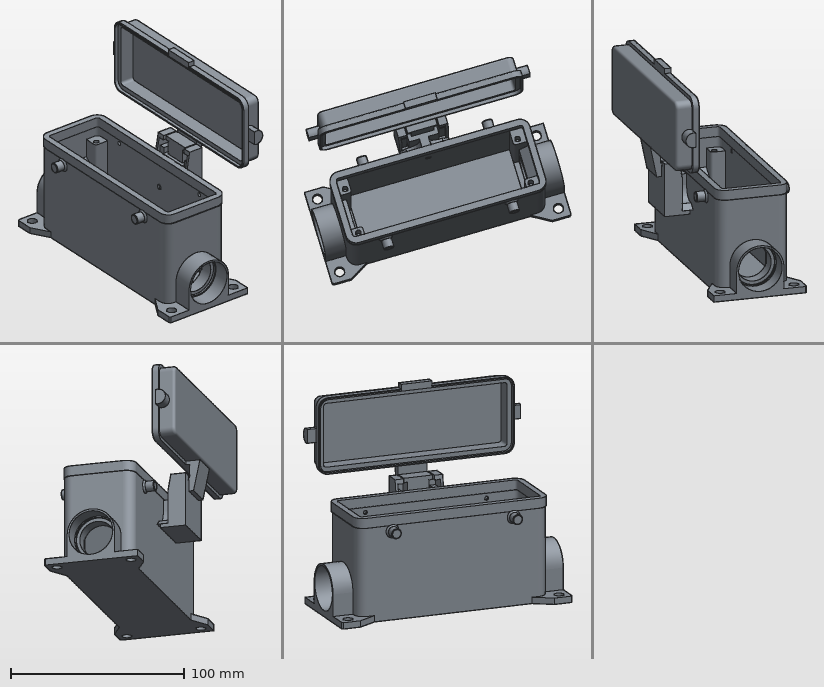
import cadquery as cq

LENGTH = 144.0
HEIGHT = 123.7

BODY_LENGTH = 119.2
BODY_DEPTH = 43.5
BODY_HEIGHT = 63.0
BODY_CORNER = 6.0
RIM_LENGTH = 120.4
RIM_DEPTH = 43.8
RIM_HEIGHT = 6.0
RIM_WALL = 3.9
FLOOR = 2.2
MOUTH_CORNER = 1.5
MOUTH_LENGTH = RIM_LENGTH - 2 * RIM_WALL
MOUTH_DEPTH = RIM_DEPTH - 2 * RIM_WALL
MOUTH_OVERHANG = 1.3
CAVITY_CORNER = MOUTH_CORNER + MOUTH_OVERHANG
CAVITY_LENGTH = MOUTH_LENGTH + 2 * MOUTH_OVERHANG
CAVITY_DEPTH = MOUTH_DEPTH + 2 * MOUTH_OVERHANG
PORT_BLOCK_WALL_Z = 38.9
PORT_BLOCK_FACE_Z = 34.5
LEDGE_TOP = 4.3

POST_SIZE = 7.5
POST_TOP = 50.4
POST_CORNER = 1.5
SCREW_DIAMETER = 3.2
SCREW_DEPTH = 8.6
SCREW_X = 52.0
SCREW_Y = 13.5

FOOT_THICKNESS = 3.9
FOOT_DEPTH = 56.7
FOOT_SHOULDER_X = 60.6
FOOT_TIP_X = 49.2
FOOT_CHAMFER = 0.9
FOOT_HOLE_DIAMETER = 5.8
FOOT_HOLE_X = 66.0
FOOT_HOLE_Y = 22.5

PORT_Z = 17.0
PORT_RADIUS = 14.4
BORE_RADIUS = 13.2
BORE_DEPTH = 10.4
STEP_RADIUS = 12.5
STEP_DEPTH = 1.5
PASSAGE_RADIUS = 10.5

PIN_X = 37.9
PIN_Z = 53.5
PIN_RADIUS = 3.0
PIN_LENGTH = 6.5
PIN_CHAMFER = 0.5
PIN_COLLAR_RADIUS = 4.0
PIN_COLLAR_LENGTH = 1.2
RIVET_RADIUS = 1.2
RIVET_DEPTH = 1.5
HINGE_RIVET_RADIUS = 1.6
HINGE_RIVET_Z = 41.6

LID_Z = 97.6
LID_FRONT_Y = 33.4
LID_FLANGE_BACK_Y = 37.5
LID_BACK_Y = 47.0
LID_LENGTH = 122.4
LID_HEIGHT = 46.2
LID_CORNER = 6.0
LID_STEP = 2.2
LID_BACK_FILLET = 1.7
LID_RIM_CHAMFER = 0.5
LID_LIP = 1.2
LID_LIP_DEPTH = 2.2
LID_POCKET_INSET = 3.9
LID_POCKET_CORNER = 1.7
LID_POCKET_BOTTOM_Y = 44.5
TAB_WIDTH = 19.2
TRUNNION_RADIUS = 4.5
TRUNNION_Y = 39.0
TRUNNION_SPAN = 133.3

ARM_WIDTH = 18.0
ARM_ROOT_BACK_Y = 46.1
ARM_ROOT_Z = 77.8
ARM_TIP_BACK_Y = 42.0
ARM_TIP_Z = 58.3
ARM_FRONT_Y = 39.6
ARM_SEAT_DROP = 1.2
BRACKET_WIDTH = 29.8
BRACKET_BACK_Y = 39.2
BRACKET_FRONT_Y = 28.4
BRACKET_TOP_FRONT_Y = 30.1
BRACKET_LIP_Y = 23.8
BRACKET_BOTTOM = 35.7
BRACKET_SHOULDER_Z = 57.9
BRACKET_TOP = 67.7
BRACKET_SHEET = 1.6
BRACKET_PLATE = 2.3
BRACKET_TOP_PLATE = 2.7
SLIT_WIDTH = 0.7
KNUCKLE_WIDTH = 13.5
KNUCKLE_FRONT_Y = 31.1
EAR_FRONT_Y = 30.2
EAR_TOP = 59.6
PEDESTAL_TOP = 56.5
PEDESTAL_POST_HALF_WIDTH = 2.7
PEDESTAL_BASE_HALF_WIDTH = 14.7
PEDESTAL_SLOPE_END = (11.0, 41.2)
PEDESTAL_LOWER_ARC_MID = (7.6, 41.6)
PEDESTAL_ARC_JOINT = (4.9, 43.3)
PEDESTAL_UPPER_ARC_MID = (3.5, 46.1)
PEDESTAL_ARC_TOP_Z = 49.4

BODY_FACE_Y = BODY_DEPTH / 2
EMBED = 1.5


def block(x0, x1, y0, y1, z0, z1):
    """Axis-aligned box between two opposite corners."""
    return cq.Workplane("XY").box(x1 - x0, y1 - y0, z1 - z0, centered=False).translate((x0, y0, z0))


def rounded_column(length, depth, z0, z1, corner):
    """Upright rounded rectangle centred on the Z axis."""
    column = cq.Workplane("XY").workplane(offset=z0).rect(length, depth).extrude(z1 - z0)
    return column.edges("|Z").fillet(corner)


def lid_slab(length, height, y0, y1, corner):
    """Rounded rectangle in the lid plane, thick from y0 to y1."""
    slab = block(-length / 2, length / 2, y0, y1, LID_Z - height / 2, LID_Z + height / 2)
    return slab.edges("|Y").fillet(corner)


def cylinder_x(radius, x0, x1, y, z):
    return cq.Workplane("YZ", origin=(x0, y, z)).circle(radius).extrude(x1 - x0)


def mirrored_x(shape):
    return shape.union(shape.mirror("YZ"))


def side_profile(points, width):
    """Extrude (Y, Z) points to a width centred on X = 0."""
    return cq.Workplane("YZ").polyline(points).close().extrude(width / 2, both=True)


def make_shell():
    body = rounded_column(BODY_LENGTH, BODY_DEPTH, 0, BODY_HEIGHT, BODY_CORNER)
    rim = rounded_column(RIM_LENGTH, RIM_DEPTH, BODY_HEIGHT - RIM_HEIGHT, BODY_HEIGHT, BODY_CORNER)
    return body.union(rim)


def make_feet():
    end_x = LENGTH / 2
    half_depth = FOOT_DEPTH / 2
    outline = [
        (FOOT_TIP_X, -BODY_FACE_Y),
        (FOOT_SHOULDER_X, -half_depth),
        (end_x, -half_depth),
        (end_x, half_depth),
        (FOOT_SHOULDER_X, half_depth),
        (FOOT_TIP_X, BODY_FACE_Y),
    ]
    foot = cq.Workplane("XY").polyline(outline).close().extrude(FOOT_THICKNESS)
    foot = foot.edges("|Z and >X and <Y").chamfer(FOOT_CHAMFER)
    holes = [(FOOT_HOLE_X, FOOT_HOLE_Y), (FOOT_HOLE_X, -FOOT_HOLE_Y)]
    foot = foot.faces(">Z").workplane(origin=(0, 0, 0)).pushPoints(holes).hole(FOOT_HOLE_DIAMETER)
    return mirrored_x(foot)


def make_ports():
    start_x = BODY_LENGTH / 2 - EMBED
    tunnel = cylinder_x(PORT_RADIUS, start_x, LENGTH / 2, 0, PORT_Z)
    tunnel = tunnel.union(block(start_x, LENGTH / 2, -PORT_RADIUS, PORT_RADIUS, 0, PORT_Z))
    return mirrored_x(tunnel)


def make_port_bores():
    end_x = LENGTH / 2
    bore_x = end_x - BORE_DEPTH
    bore = cylinder_x(BORE_RADIUS, bore_x, end_x, 0, PORT_Z)
    step = cylinder_x(STEP_RADIUS, bore_x - STEP_DEPTH, bore_x, 0, PORT_Z)
    passage = cylinder_x(PASSAGE_RADIUS, 0, end_x, 0, PORT_Z)
    return mirrored_x(bore.union(step).union(passage))


def make_cavity():
    chamber = rounded_column(CAVITY_LENGTH, CAVITY_DEPTH, FLOOR, BODY_HEIGHT - RIM_HEIGHT, CAVITY_CORNER)
    mouth = rounded_column(MOUTH_LENGTH, MOUTH_DEPTH, FLOOR, BODY_HEIGHT, MOUTH_CORNER)
    return chamber.union(mouth)


def make_port_blocks():
    """Blocks inside the end walls around the ports, with sloped tops and a low ledge."""
    wall_x = CAVITY_LENGTH / 2
    post_x = MOUTH_LENGTH / 2 - POST_SIZE
    profile = [
        (wall_x, 0),
        (post_x, 0),
        (post_x, LEDGE_TOP),
        (SCREW_X, LEDGE_TOP),
        (SCREW_X, PORT_BLOCK_FACE_Z),
        (wall_x, PORT_BLOCK_WALL_Z),
    ]
    port_block = cq.Workplane("XZ").polyline(profile).close().extrude(CAVITY_DEPTH / 2, both=True)
    return mirrored_x(port_block)


def make_posts():
    post = block(
        MOUTH_LENGTH / 2 - POST_SIZE, CAVITY_LENGTH / 2,
        MOUTH_DEPTH / 2 - POST_SIZE, CAVITY_DEPTH / 2,
        0, POST_TOP,
    )
    post = post.edges("|Z and <X and <Y").fillet(POST_CORNER)
    screw = (
        cq.Workplane("XY", origin=(SCREW_X, SCREW_Y, POST_TOP))
        .circle(SCREW_DIAMETER / 2)
        .extrude(-SCREW_DEPTH)
    )
    pair = mirrored_x(post.cut(screw))
    return pair.union(pair.mirror("XZ"))


def make_pins():
    tip_y = BODY_FACE_Y + PIN_LENGTH
    collar_y = BODY_FACE_Y + PIN_COLLAR_LENGTH
    half_profile = [
        (0, BODY_FACE_Y - EMBED),
        (PIN_COLLAR_RADIUS, BODY_FACE_Y - EMBED),
        (PIN_COLLAR_RADIUS, BODY_FACE_Y),
        (PIN_RADIUS, collar_y),
        (PIN_RADIUS, tip_y - PIN_CHAMFER),
        (PIN_RADIUS - PIN_CHAMFER, tip_y),
        (0, tip_y),
    ]
    pin = cq.Workplane("XY").polyline(half_profile).close().revolve(360, (0, 0, 0), (0, 1, 0))
    pair = mirrored_x(pin.translate((PIN_X, 0, PIN_Z)))
    return pair.union(pair.mirror("XZ"))


def make_rivet_recesses():
    """Shallow round recesses inside the walls, behind the pins and the hinge."""
    half_span = CAVITY_DEPTH / 2 + RIVET_DEPTH
    pin_recess = (
        cq.Workplane("XZ", origin=(PIN_X, 0, PIN_Z)).circle(RIVET_RADIUS).extrude(half_span, both=True)
    )
    hinge_recess = (
        cq.Workplane("XZ", origin=(0, 0, HINGE_RIVET_Z)).circle(HINGE_RIVET_RADIUS).extrude(-half_span)
    )
    return mirrored_x(pin_recess).union(hinge_recess)


def make_lid():
    flange = lid_slab(LID_LENGTH, LID_HEIGHT, LID_FRONT_Y, LID_FLANGE_BACK_Y, LID_CORNER)
    flange = flange.faces("<Y").edges().chamfer(LID_RIM_CHAMFER)
    shell_length = LID_LENGTH - 2 * LID_STEP
    shell_height = LID_HEIGHT - 2 * LID_STEP
    shell = lid_slab(shell_length, shell_height, LID_FRONT_Y, LID_BACK_Y, LID_CORNER - LID_STEP)
    shell = shell.faces(">Y").edges().fillet(LID_BACK_FILLET)

    tab = block(
        -TAB_WIDTH / 2, TAB_WIDTH / 2,
        LID_FRONT_Y, LID_FLANGE_BACK_Y,
        LID_Z, HEIGHT,
    )
    trunnion = cylinder_x(TRUNNION_RADIUS, -TRUNNION_SPAN / 2, TRUNNION_SPAN / 2, TRUNNION_Y, LID_Z)
    trunnion = trunnion.intersect(
        block(
            -TRUNNION_SPAN / 2, TRUNNION_SPAN / 2,
            LID_FLANGE_BACK_Y, LID_BACK_Y,
            0, HEIGHT,
        )
    )

    lip_recess = lid_slab(
        LID_LENGTH - 2 * LID_LIP, LID_HEIGHT - 2 * LID_LIP,
        LID_FRONT_Y, LID_FRONT_Y + LID_LIP_DEPTH,
        LID_CORNER - LID_LIP,
    )
    pocket = lid_slab(
        LID_LENGTH - 2 * LID_POCKET_INSET, LID_HEIGHT - 2 * LID_POCKET_INSET,
        LID_FRONT_Y, LID_POCKET_BOTTOM_Y,
        LID_POCKET_CORNER,
    )
    solid = flange.union(shell).union(tab).union(trunnion)
    return solid.cut(lip_recess).cut(pocket)


def make_arm():
    """Tapered arm hanging from the back of the lid down to the bracket."""
    flange_bottom = LID_Z - LID_HEIGHT / 2
    inner_back = BRACKET_BACK_Y - BRACKET_SHEET
    seat_z = BRACKET_TOP - ARM_SEAT_DROP
    profile = [
        (ARM_ROOT_BACK_Y, ARM_ROOT_Z),
        (ARM_TIP_BACK_Y, ARM_TIP_Z),
        (inner_back, ARM_TIP_Z),
        (inner_back, seat_z),
        (ARM_FRONT_Y, seat_z),
        (ARM_FRONT_Y, flange_bottom),
        (LID_FLANGE_BACK_Y, flange_bottom),
        (LID_FLANGE_BACK_Y, ARM_ROOT_Z),
    ]
    return side_profile(profile, ARM_WIDTH)


def make_bracket():
    """Sheet bracket, open towards the housing, with a lip along its bottom."""
    plate_top = BRACKET_BOTTOM + BRACKET_PLATE
    outline = [
        (BRACKET_BACK_Y, BRACKET_BOTTOM),
        (BRACKET_LIP_Y, BRACKET_BOTTOM),
        (BRACKET_LIP_Y, plate_top),
        (BRACKET_FRONT_Y, plate_top),
        (BRACKET_FRONT_Y, BRACKET_SHOULDER_Z),
        (BRACKET_TOP_FRONT_Y, BRACKET_TOP),
        (BRACKET_BACK_Y, BRACKET_TOP),
    ]
    bracket = side_profile(outline, BRACKET_WIDTH)
    inner_half = BRACKET_WIDTH / 2 - BRACKET_SHEET
    inner_back = BRACKET_BACK_Y - BRACKET_SHEET
    plate_bottom = BRACKET_TOP - BRACKET_TOP_PLATE
    bracket = bracket.cut(
        block(-inner_half, inner_half, 0, inner_back, plate_top, plate_bottom)
    )

    arm_half = ARM_WIDTH / 2
    slit = block(
        arm_half, arm_half + SLIT_WIDTH,
        0, BRACKET_BACK_Y,
        plate_bottom, BRACKET_TOP,
    )
    knuckle = block(
        -KNUCKLE_WIDTH / 2, KNUCKLE_WIDTH / 2,
        KNUCKLE_FRONT_Y, inner_back,
        PEDESTAL_TOP, plate_bottom,
    )
    shelf = block(-arm_half, arm_half, BRACKET_FRONT_Y, inner_back, plate_top, PEDESTAL_TOP)
    ear = block(arm_half + SLIT_WIDTH, inner_half, EAR_FRONT_Y, inner_back, plate_top, EAR_TOP)
    setback = block(
        -arm_half, arm_half,
        0, KNUCKLE_FRONT_Y,
        plate_bottom, BRACKET_TOP,
    )
    bracket = bracket.cut(mirrored_x(slit)).cut(setback)
    return bracket.union(knuckle).union(shelf).union(mirrored_x(ear))


def make_pedestal():
    """Bell-shaped foot that ties the bracket to the back wall of the housing."""
    plate_top = BRACKET_BOTTOM + BRACKET_PLATE
    post = PEDESTAL_POST_HALF_WIDTH
    flank = (
        cq.Workplane("XZ", origin=(0, BODY_FACE_Y - EMBED, 0))
        .moveTo(0, plate_top)
        .lineTo(PEDESTAL_BASE_HALF_WIDTH, plate_top)
        .lineTo(*PEDESTAL_SLOPE_END)
        .threePointArc(PEDESTAL_LOWER_ARC_MID, PEDESTAL_ARC_JOINT)
        .threePointArc(PEDESTAL_UPPER_ARC_MID, (post, PEDESTAL_ARC_TOP_Z))
        .lineTo(post, PEDESTAL_TOP)
        .lineTo(0, PEDESTAL_TOP)
        .close()
        .extrude(-(BRACKET_FRONT_Y - BODY_FACE_Y + EMBED))
    )
    return mirrored_x(flank)


housing = make_shell().union(make_feet()).union(make_ports()).union(make_pins())
housing = housing.cut(make_cavity()).union(make_port_blocks()).union(make_posts())
housing = housing.cut(make_port_bores()).cut(make_rivet_recesses())

hinge = make_bracket().union(make_pedestal()).union(make_arm())

result = housing.union(hinge).union(make_lid())